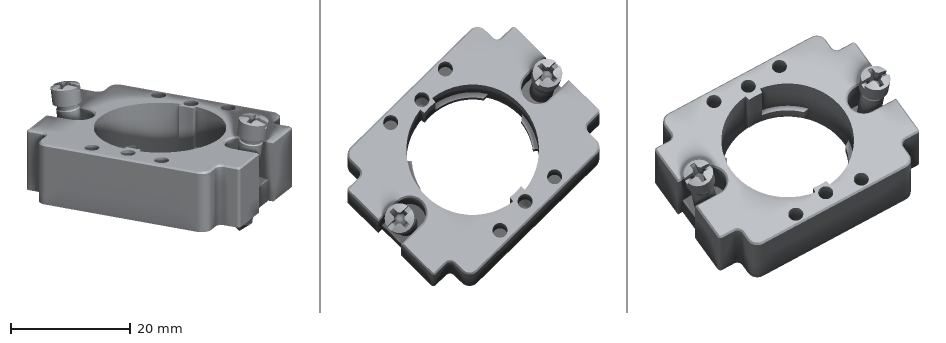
import cadquery as cq
import math

plate_height = 10.85
ear_length = 39.75
ear_width = 20.8
block_length = 31.85
block_width = 30.0
block_corner_radius = 1.8
inner_corner_radius = 1.0
ear_corner_radius = 0.5
top_chamfer = 0.3

bore_diameter = 22.25
bore_offset = 0.2
rib_inner_diameter = 20.45
rib_bottom = 1.7
rib_top = 3.55
key_half_angle = 7.3
key_angles = (90, 270)
rib_angles = (
    ((34.8, 90), (31.6, 90)),
    ((222.7, 270), (219.4, 270)),
    ((138.4, 166.5), (138.4, 171.5)),
    ((322.8, 352.3), (322.8, 356.8)),
)

blind_hole_diameter = 2.5
blind_hole_depth = 5.0
flat_hole_x = 6.48
flat_hole_y = 13.0
drilled_hole_y = 12.27
drill_point_angle = 118

screw_tilt = 7.5
tip_x = 14.83
tip_z = -5.25
shaft_diameter = 4.0
tip_length = shaft_diameter / 2
neck_diameter = 3.65
neck_length = 0.9
head_diameter = 5.0
head_base = 17.95
head_height = 2.88
dome_height = 0.4
neck_base = head_base - neck_length
shoulder_chamfer = (shaft_diameter - neck_diameter) / 2
head_rim = head_base + head_height
head_top = head_rim + dome_height

drive_width = 0.9
slot_depth = 0.85
wing_span = 3.9
core_diameter = 1.85
core_depth = 2.0

ear_slot_width = 5.48
ear_slot_end = 12.45
ledge_x = 18.95
ledge_level = 9.47

sides = (-1, 1)
eps = 0.4


def place_on_screw_axis(shape, side):
    """Move a shape built on +Z from the screw tip onto the tilted axis at one end of the plate."""
    tilted = shape.rotate((0, 0, 0), (0, 1, 0), side * screw_tilt)
    return tilted.translate((side * tip_x, 0, tip_z))


def polar(radius, angle):
    """Point at an angle in degrees around the bore axis."""
    radians = math.radians(angle)
    return (radius * math.cos(radians), bore_offset + radius * math.sin(radians))


def plate_blank():
    ears = (
        cq.Workplane("XY").rect(ear_length, ear_width).extrude(plate_height)
        .edges("|Z").fillet(ear_corner_radius)
    )
    block = (
        cq.Workplane("XY").rect(block_length, block_width).extrude(plate_height)
        .edges("|Z").fillet(block_corner_radius)
    )
    inner_corners = cq.selectors.BoxSelector(
        (-block_length / 2 - eps, -ear_width / 2 - eps, -eps),
        (block_length / 2 + eps, ear_width / 2 + eps, plate_height + eps),
    )
    return ears.union(block).edges("|Z").edges(inner_corners).fillet(inner_corner_radius)


def ear_slot(side):
    """Slot with a round inner end, a floor square to the screw and an open mouth."""
    slot_length = 2 * (ear_length / 2 + ear_slot_width - ear_slot_end)
    slot_centre = ear_slot_end + slot_length / 2
    outline = (
        cq.Workplane("XY").center(side * slot_centre, 0)
        .slot2D(slot_length, ear_slot_width).extrude(plate_height + eps)
    )
    above_ledge = place_on_screw_axis(
        cq.Workplane("XY").workplane(offset=ledge_level)
        .rect(ear_length, block_width).extrude(2 * plate_height),
        side,
    )
    mouth_length = ear_length / 2 - ledge_x + eps
    mouth = (
        cq.Workplane("XY").center(side * (ledge_x + mouth_length / 2), 0)
        .rect(mouth_length, ear_slot_width).extrude(plate_height)
    )
    return outline.intersect(above_ledge).union(mouth)


def ring_segment(inner_angles, outer_angles, bottom, top):
    """Segment between the rib diameter and the bore wall, with its own end angles on each arc."""
    inner_radius = rib_inner_diameter / 2
    outer_radius = bore_diameter / 2
    inner_start, inner_end = inner_angles
    outer_start, outer_end = outer_angles
    return (
        cq.Workplane("XY").workplane(offset=bottom)
        .moveTo(*polar(inner_radius, inner_start))
        .threePointArc(polar(inner_radius, (inner_start + inner_end) / 2), polar(inner_radius, inner_end))
        .lineTo(*polar(outer_radius, outer_end))
        .threePointArc(polar(outer_radius, (outer_start + outer_end) / 2), polar(outer_radius, outer_start))
        .close().extrude(top - bottom)
    )


def bore_opening():
    """Volume removed for the bore, leaving the two keys and the four ribs standing."""
    opening = (
        cq.Workplane("XY").center(0, bore_offset)
        .circle(bore_diameter / 2).extrude(plate_height)
    )
    for angle in key_angles:
        span = (angle - key_half_angle, angle + key_half_angle)
        opening = opening.cut(ring_segment(span, span, rib_bottom, plate_height))
    for inner_angles, outer_angles in rib_angles:
        opening = opening.cut(ring_segment(inner_angles, outer_angles, rib_bottom, rib_top))
    return opening


def flat_holes():
    return (
        cq.Workplane("XY").workplane(offset=plate_height - blind_hole_depth)
        .center(0, bore_offset)
        .rect(2 * flat_hole_x, 2 * flat_hole_y, forConstruction=True).vertices()
        .circle(blind_hole_diameter / 2).extrude(blind_hole_depth)
    )


def drilled_hole(y):
    """Blind hole ending in a drill point."""
    radius = blind_hole_diameter / 2
    point_length = radius / math.tan(math.radians(drill_point_angle / 2))
    profile = [
        (0, -blind_hole_depth - point_length),
        (radius, -blind_hole_depth),
        (radius, 0),
        (0, 0),
    ]
    hole = cq.Workplane("XZ").polyline(profile).close().revolve(360, (0, 0, 0), (0, 1, 0))
    return hole.translate((0, y, plate_height))


def make_plate():
    plate = plate_blank()
    for side in sides:
        plate = plate.cut(ear_slot(side))
    plate = plate.faces(">Z").chamfer(top_chamfer)
    plate = plate.cut(bore_opening()).cut(flat_holes())
    for side in sides:
        plate = plate.cut(drilled_hole(side * drilled_hole_y))
        shaft_hole = cq.Workplane("XY").circle(shaft_diameter / 2).extrude(ledge_level + eps)
        plate = plate.cut(place_on_screw_axis(shaft_hole, side))
    return plate


def drive_recess():
    slot = (
        cq.Workplane("XY").workplane(offset=head_rim - slot_depth)
        .rect(head_diameter + eps, drive_width).extrude(slot_depth + dome_height)
    )
    core = (
        cq.Workplane("XY").workplane(offset=head_rim - core_depth)
        .circle(core_diameter / 2).extrude(core_depth + dome_height)
    )
    wing_profile = [
        (-core_diameter / 2, head_rim - core_depth),
        (core_diameter / 2, head_rim - core_depth),
        (wing_span / 2, head_rim),
        (wing_span / 2, head_top),
        (-wing_span / 2, head_top),
        (-wing_span / 2, head_rim),
    ]
    wings = (
        cq.Workplane("XZ").polyline(wing_profile).close()
        .extrude(drive_width / 2, both=True)
    )
    crossing_wings = wings.rotate((0, 0, 0), (0, 0, 1), 90)
    return slot.union(core).union(wings).union(crossing_wings)


def make_screw(side):
    dome_radius = ((head_diameter / 2) ** 2 + dome_height ** 2) / (2 * dome_height)
    dome_centre = head_top - dome_radius
    half_dome_angle = math.asin(head_diameter / 2 / dome_radius) / 2
    dome_middle = (
        dome_radius * math.sin(half_dome_angle),
        dome_centre + dome_radius * math.cos(half_dome_angle),
    )
    body = (
        cq.Workplane("XZ")
        .lineTo(shaft_diameter / 2, tip_length)
        .lineTo(shaft_diameter / 2, neck_base - shoulder_chamfer)
        .lineTo(neck_diameter / 2, neck_base)
        .lineTo(neck_diameter / 2, head_base)
        .lineTo(head_diameter / 2, head_base)
        .lineTo(head_diameter / 2, head_rim)
        .threePointArc(dome_middle, (0, head_top))
        .close().revolve(360, (0, 0, 0), (0, 1, 0))
    )
    return place_on_screw_axis(body.cut(drive_recess()), side)


plate = make_plate()
screws = [make_screw(side) for side in sides]

result = cq.Compound.makeCompound([plate.val(), *[screw.val() for screw in screws]])